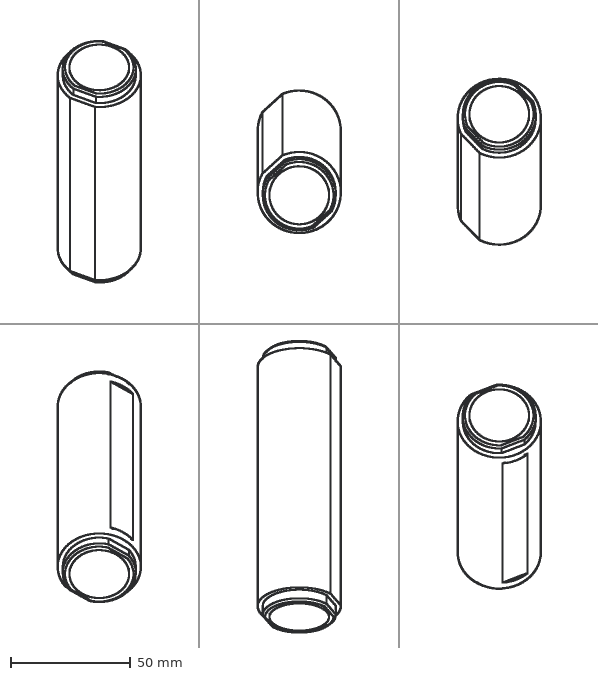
import cadquery as cq

total_length = 122.9
body_radius = 17.51
body_flat_distance = 16.53

spigot_length = 5.0
spigot_radius = 15.4
spigot_flat_distance = 14.44
spigot_chamfer = 1.0

bore_radius = 12.5
collar_length = 5.0

body_length = total_length - 2 * spigot_length


def cylinder(radius, length):
    """Cylinder along Z, centred on the origin."""
    return cq.Workplane("XY").circle(radius).extrude(length / 2, both=True)


def slab(front, rear, length):
    """Block spanning the body width, bounded in Y by two flat planes."""
    depth = front + rear
    return cq.Workplane("XY").box(2 * body_radius, depth, length).translate((0, (rear - front) / 2, 0))


def make_body():
    """Round body with a full-length front flat and a rear flat between the collars."""
    flat_length = body_length - 2 * collar_length
    collared_envelope = slab(body_flat_distance, body_radius, body_length)
    rear_cutter = (
        cq.Workplane("XY")
        .box(2 * body_radius, body_radius, flat_length)
        .translate((0, body_flat_distance + body_radius / 2, 0))
    )
    return cylinder(body_radius, body_length).intersect(collared_envelope).cut(rear_cutter)


def make_spigots():
    """Core running the full length; its chamfered ends form both spigots."""
    round_core = cylinder(spigot_radius, total_length).faces("<Z or >Z").chamfer(spigot_chamfer)
    envelope = slab(spigot_flat_distance, spigot_flat_distance, total_length)
    chamfered_envelope = envelope.edges("|X").chamfer(spigot_chamfer)
    return round_core.intersect(chamfered_envelope)


bore = cylinder(bore_radius, total_length)
result = make_body().union(make_spigots()).cut(bore)